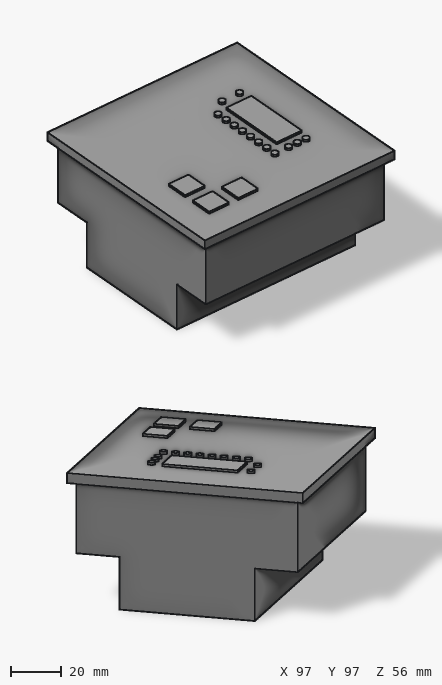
import cadquery as cq

plate_side = 97.0
plate_thickness = 4.2

housing_side = 91.2
upper_height = 29.3
lower_width = 55.7
lower_height = 21.5

raised_height = 1.0

display_width = 31.0
display_depth = 12.8
display_y = 22.0

lamp_diameter = 3.0
lamp_column_x = 20.5
lamp_column_pitch = 4.5
lamp_row_y = 10.6
lamp_row_length = 35.0
lamp_row_count = 8
lamp_row_pitch = lamp_row_length / (lamp_row_count - 1)

button_side = 10.1
button_x = 30.4
button_y = -15.5
button_pitch = 14.8


def block(width, depth, height, top_z):
    """Box centred in X and Y, hanging down from top_z."""
    return cq.Workplane("XY").workplane(offset=top_z).rect(width, depth).extrude(-height)


def lamp_centres():
    """Two lamps left of the display, three to its right and a row below it."""
    upper_y = display_y + lamp_column_pitch
    lower_y = display_y - lamp_column_pitch
    left = [(-lamp_column_x, y) for y in (upper_y, lower_y)]
    right = [(lamp_column_x, y) for y in (upper_y, display_y, lower_y)]
    row = [(lamp_column_x - i * lamp_row_pitch, lamp_row_y) for i in range(lamp_row_count)]
    return left + right + row


def button_centres():
    lower_y = button_y - button_pitch
    return [
        (button_x, button_y),
        (button_x, lower_y),
        (button_x - button_pitch, lower_y),
    ]


plate = block(plate_side, plate_side, plate_thickness, 0)
upper_housing = block(housing_side, housing_side, upper_height, -plate_thickness)
lower_housing = block(lower_width, housing_side, lower_height, -plate_thickness - upper_height)

face = cq.Workplane("XY")
display = face.center(0, display_y).rect(display_width, display_depth).extrude(raised_height)
lamps = face.pushPoints(lamp_centres()).circle(lamp_diameter / 2).extrude(raised_height)
buttons = face.pushPoints(button_centres()).rect(button_side, button_side).extrude(raised_height)

result = plate.union(upper_housing).union(lower_housing)
result = result.union(display).union(lamps).union(buttons)